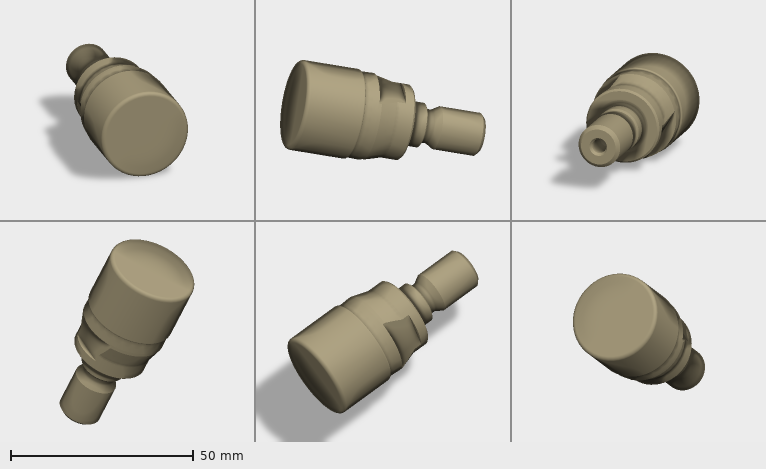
import cadquery as cq
import math

total_length = 54.0
body_radius = 12.5

pin_radius = 6.0
pin_chamfer = 1.0
pin_end = 12.7
neck_radius = 4.7
neck_end = 16.0
neck_fillet = 0.95
runout_angle = math.radians(30)

pilot_radius = 6.2
pilot_start = 17.35
pilot_end = 20.25
undercut_radius = 6.05
undercut_start = 20.95
undercut_fillet = 0.6
undercut_outer_radius = 7.45
undercut_depth = 0.15

collar_start = 22.0
collar_radius = 10.55
collar_chamfer = 0.55
flare_start = 27.2
flare_end = 32.3
flare_fillet = 2.05
shoulder_radius = 12.1
shoulder_end = 33.25
relief_radius = 12.0
body_start = 37.05
body_front_fillet = body_radius - relief_radius
body_rear_fillet = 1.0

flat_start = 24.9
flat_end = 33.0
flat_distance = 9.0
flat_tilt = 30.0

hole_radius = 2.0
hole_mouth_radius = 2.55
countersink_half_angle = math.radians(30)
hole_depth = 8.1
drill_tip_angle = math.radians(118)


def tangent_point(center_x, center_r, radius, angle):
    """Point on a profile arc, with the angle measured from +X towards +R."""
    return center_x + radius * math.cos(angle), center_r + radius * math.sin(angle)


def make_turned_body():
    cone_end_radius = neck_radius + neck_fillet * (1 - math.cos(runout_angle))
    cone_end = pin_end + (pin_radius - cone_end_radius) / math.tan(runout_angle)
    neck_start = cone_end + neck_fillet * math.sin(runout_angle)
    blend_center = (neck_start, neck_radius + neck_fillet)
    blend_middle = tangent_point(*blend_center, neck_fillet, -math.pi / 2 - runout_angle / 2)

    rise_end = (neck_end + neck_fillet, neck_radius + neck_fillet)
    rise_middle = tangent_point(neck_end, rise_end[1], neck_fillet, -math.pi / 4)

    root_x = collar_start + undercut_depth
    root_center = (root_x - undercut_fillet, undercut_radius + undercut_fillet)
    root_middle = tangent_point(*root_center, undercut_fillet, -math.pi / 4)

    flare_angle = math.atan2(shoulder_radius - collar_radius, flare_end - flare_start)
    tangent_length = flare_fillet * math.tan(flare_angle / 2)
    flare_center = (flare_start - tangent_length, collar_radius + flare_fillet)
    flare_middle = tangent_point(*flare_center, flare_fillet, -math.pi / 2 + flare_angle / 2)
    flare_tangent = tangent_point(*flare_center, flare_fillet, -math.pi / 2 + flare_angle)

    front_center = (body_start + body_front_fillet, body_radius - body_front_fillet)
    front_middle = tangent_point(*front_center, body_front_fillet, 3 * math.pi / 4)
    rear_center = (total_length - body_rear_fillet, body_radius - body_rear_fillet)
    rear_middle = tangent_point(*rear_center, body_rear_fillet, math.pi / 4)

    profile = (
        cq.Workplane("XY")
        .moveTo(0, 0)
        .lineTo(0, pin_radius - pin_chamfer)
        .lineTo(pin_chamfer, pin_radius)
        .lineTo(pin_end, pin_radius)
        .lineTo(cone_end, cone_end_radius)
        .threePointArc(blend_middle, (neck_start, neck_radius))
        .lineTo(neck_end, neck_radius)
        .threePointArc(rise_middle, rise_end)
        .lineTo(pilot_start, pilot_radius)
        .lineTo(pilot_end, pilot_radius)
        .lineTo(undercut_start, undercut_radius)
        .lineTo(root_center[0], undercut_radius)
        .threePointArc(root_middle, (root_x, root_center[1]))
        .lineTo(collar_start, undercut_outer_radius)
        .lineTo(collar_start, collar_radius - collar_chamfer)
        .lineTo(collar_start + collar_chamfer, collar_radius)
        .lineTo(flare_center[0], collar_radius)
        .threePointArc(flare_middle, flare_tangent)
        .lineTo(flare_end, shoulder_radius)
        .lineTo(shoulder_end, shoulder_radius)
        .lineTo(body_start, relief_radius)
        .threePointArc(front_middle, (front_center[0], body_radius))
        .lineTo(rear_center[0], body_radius)
        .threePointArc(rear_middle, (total_length, rear_center[1]))
        .lineTo(total_length, 0)
        .close()
    )
    return profile.revolve(360, (0, 0, 0), (1, 0, 0))


def make_flat_cutter(side):
    """Block that removes everything outside one wrench flat."""
    block = cq.Workplane("XY").box(flat_end - flat_start, body_radius, 2 * body_radius)
    block_center_y = side * (flat_distance + body_radius / 2)
    block = block.translate(((flat_start + flat_end) / 2, block_center_y, 0))
    return block.rotate((0, 0, 0), (1, 0, 0), flat_tilt)


def make_hole():
    """Countersunk blind hole with a conical drill tip."""
    tip_x = hole_depth + hole_radius / math.tan(drill_tip_angle / 2)
    countersink_depth = (hole_mouth_radius - hole_radius) / math.tan(countersink_half_angle)
    profile = cq.Workplane("XY").polyline([
        (0, 0),
        (0, hole_mouth_radius),
        (countersink_depth, hole_radius),
        (hole_depth, hole_radius),
        (tip_x, 0),
    ])
    return profile.close().revolve(360, (0, 0, 0), (1, 0, 0))


result = make_turned_body().cut(make_hole())
for side in (-1, 1):
    result = result.cut(make_flat_cutter(side))